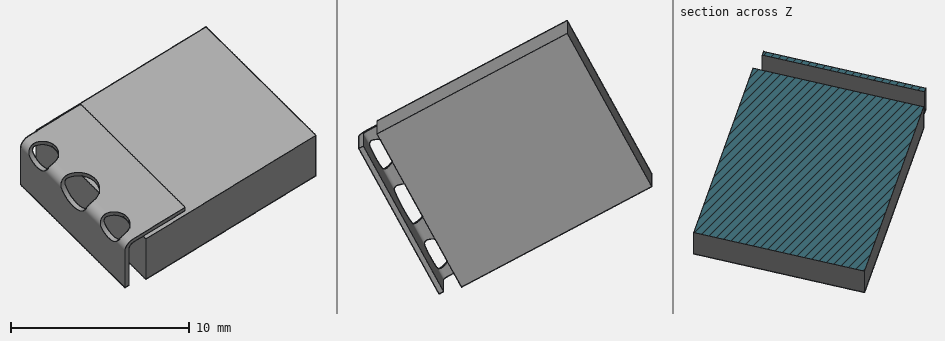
import cadquery as cq
import math

block_width = 10.0
block_length = 12.15
block_height = 3.6

sheet_thickness = 0.3
cover_width = 9.5
cover_overlap = 3.0
leg_offset = 1.3
bend_inner_radius = 0.3
neutral_depth_share = 0.7

bend_outer_radius = bend_inner_radius + sheet_thickness
bend_neutral_radius = bend_inner_radius + neutral_depth_share * sheet_thickness
cover_top = block_height + sheet_thickness
leg_front = -leg_offset
bend_y = leg_front + bend_outer_radius
bend_z = cover_top - bend_outer_radius

hole_y = -0.9
side_hole_radius = 0.9
middle_hole_radius = 1.2
side_hole_spacing = 3.25

bend_length = bend_neutral_radius * math.pi / 2
hole_past_bend_start = bend_y - hole_y
cut_margin = 0.1
curve_samples = 24


def make_block():
    return cq.Workplane("XY").box(
        block_width, block_length, block_height, centered=(True, False, False)
    )


def make_cover():
    profile = (
        cq.Workplane("YZ")
        .moveTo(cover_overlap, block_height)
        .lineTo(cover_overlap, cover_top)
        .lineTo(bend_y, cover_top)
        .radiusArc((leg_front, bend_z), -bend_outer_radius)
        .lineTo(leg_front, 0)
        .lineTo(leg_front + sheet_thickness, 0)
        .lineTo(leg_front + sheet_thickness, bend_z)
        .radiusArc((bend_y, block_height), bend_inner_radius)
        .close()
    )
    return profile.extrude(cover_width / 2, both=True)


def bend_opening(x, radius):
    """Part of a hole inside the bend: its walls stay square to the curved sheet."""

    def edge_curve(side, depth_radius):
        def point(t):
            angle = t * math.pi / 2
            along = bend_length * t - hole_past_bend_start
            half_width = math.sqrt(radius**2 - along**2)
            return (
                x + side * half_width,
                bend_y - depth_radius * math.sin(angle),
                bend_z + depth_radius * math.cos(angle),
            )

        return cq.Workplane("XY").parametricCurve(point, N=curve_samples, makeWire=False).val()

    inner_radius = bend_inner_radius - cut_margin
    outer_radius = bend_outer_radius + cut_margin
    corners = [(-1, inner_radius), (1, inner_radius), (1, outer_radius), (-1, outer_radius)]
    curves = [edge_curve(side, depth_radius) for side, depth_radius in corners]
    neighbours = curves[1:] + curves[:1]
    faces = [cq.Face.makeRuledSurface(a, b) for a, b in zip(curves, neighbours)]
    for end in (0, 1):
        points = [curve.positionAt(end) for curve in curves]
        faces.append(cq.Face.makeFromWires(cq.Wire.makePolygon(points, close=True)))
    return cq.Workplane(cq.Solid.makeSolid(cq.Shell.makeShell(faces)))


def cut_hole(cover, x, radius):
    cut_depth = sheet_thickness + 2 * cut_margin

    top_part = (
        cq.Workplane("XY", origin=(x, hole_y, block_height - cut_margin))
        .circle(radius)
        .extrude(cut_depth)
        .intersect(cq.Workplane("XY").box(
            block_width, block_length, 2 * cover_top, centered=(True, False, True)
        ).translate((0, bend_y, 0)))
    )

    leg_centre_z = bend_z + bend_length - hole_past_bend_start
    leg_part = (
        cq.Workplane("XZ", origin=(x, leg_front - cut_margin, leg_centre_z))
        .circle(radius)
        .extrude(-cut_depth)
        .intersect(cq.Workplane("XY").box(
            block_width, block_length, bend_z, centered=(True, True, False)
        ))
    )
    return cover.cut(top_part).cut(leg_part).cut(bend_opening(x, radius))


cover = make_cover()
cover = cut_hole(cover, 0, middle_hole_radius)
for side in (-1, 1):
    cover = cut_hole(cover, side * side_hole_spacing, side_hole_radius)

result = make_block().union(cover)